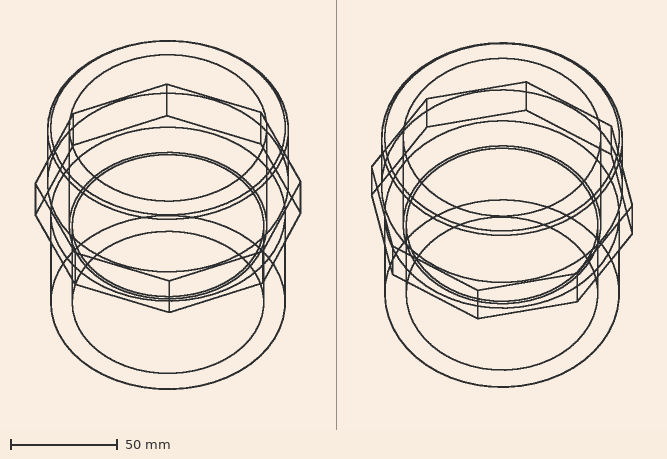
import cadquery as cq
import math

total_height = 122.0
lower_height = 61.7
collar_height = 22.1
upper_height = total_height - lower_height - collar_height

collar_across_flats = 115.0
lower_diameter = 110.0
upper_diameter = 113.1
rim_chamfer = 1.5

socket_diameter = 92.7
bore_diameter = 89.9
ledge_height = 53.7


def octagonal_collar():
    """Wrench collar with its flats facing along X and Y."""
    across_corners = collar_across_flats / math.cos(math.pi / 8)
    return (
        cq.Workplane("XY")
        .workplane(offset=lower_height)
        .transformed(rotate=(0, 0, 22.5))
        .polygon(8, across_corners)
        .extrude(collar_height)
    )


def lower_barrel():
    return cq.Workplane("XY").circle(lower_diameter / 2).extrude(lower_height)


def upper_barrel():
    """Socket barrel with a chamfered outer rim."""
    return (
        cq.Workplane("XY")
        .workplane(offset=lower_height + collar_height)
        .circle(upper_diameter / 2)
        .extrude(upper_height)
        .faces(">Z")
        .edges()
        .chamfer(rim_chamfer)
    )


def stepped_bore():
    through_bore = cq.Workplane("XY").circle(bore_diameter / 2).extrude(total_height)
    socket = (
        cq.Workplane("XY")
        .workplane(offset=ledge_height)
        .circle(socket_diameter / 2)
        .extrude(total_height - ledge_height)
    )
    return through_bore.union(socket)


body = lower_barrel().union(octagonal_collar()).union(upper_barrel())
result = body.cut(stepped_bore())